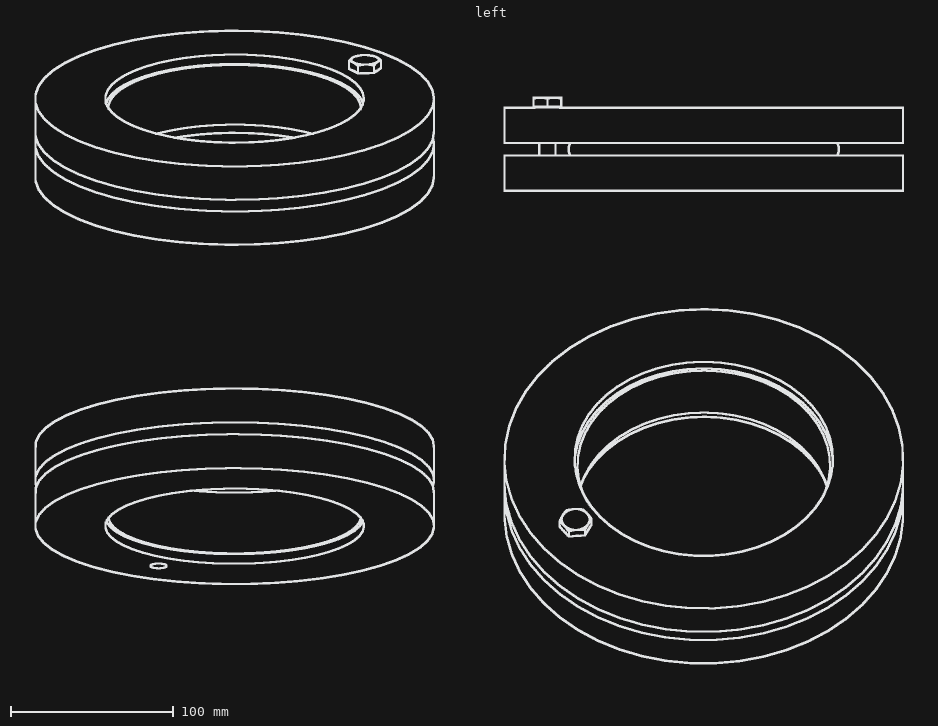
import cadquery as cq
import math

FLANGE_DIAMETER = 245.0
FLANGE_BORE = 158.8
FLANGE_THICKNESS = 21.8
FLANGE_GAP = 7.5
UPPER_FLANGE_BASE = FLANGE_THICKNESS + FLANGE_GAP
STACK_HEIGHT = UPPER_FLANGE_BASE + FLANGE_THICKNESS

RING_BORE = 155.0
RING_CREST_DIAMETER = 166.0
RING_EDGE_DROP = 1.0
RING_RECESS = 6.1

BOLT_OFFSET = 96.0
SHANK_DIAMETER = 10.0
HEAD_ACROSS_FLATS = 17.2
HEAD_TOTAL_HEIGHT = 6.1
WASHER_FACE_DIAMETER = 15.5
WASHER_FACE_HEIGHT = 0.5
HEXAGON_HEIGHT = HEAD_TOTAL_HEIGHT - WASHER_FACE_HEIGHT
HEAD_CHAMFER_ANGLE = 30.0


def make_flange(base_height):
    """Flat ring with a bore and a hole that fits the bolt shank."""
    return (
        cq.Workplane("XY", origin=(0, 0, base_height))
        .circle(FLANGE_DIAMETER / 2)
        .circle(FLANGE_BORE / 2)
        .extrude(FLANGE_THICKNESS)
        .cut(make_shank())
    )


def make_seal_ring():
    """Sleeve inside both bores, with a rounded collar filling the gap."""
    inner = RING_BORE / 2
    outer = FLANGE_BORE / 2
    crest = RING_CREST_DIAMETER / 2
    collar_edge = crest - RING_EDGE_DROP
    bottom = RING_RECESS
    top = STACK_HEIGHT - RING_RECESS
    return (
        cq.Workplane("XZ")
        .moveTo(inner, bottom)
        .lineTo(outer, bottom)
        .lineTo(outer, FLANGE_THICKNESS)
        .lineTo(collar_edge, FLANGE_THICKNESS)
        .threePointArc((crest, STACK_HEIGHT / 2), (collar_edge, UPPER_FLANGE_BASE))
        .lineTo(outer, UPPER_FLANGE_BASE)
        .lineTo(outer, top)
        .lineTo(inner, top)
        .close()
        .revolve(360, (0, 0, 0), (0, 1, 0))
    )


def make_shank():
    """Bolt shank through the full flange stack."""
    return (
        cq.Workplane("XY")
        .center(0, BOLT_OFFSET)
        .circle(SHANK_DIAMETER / 2)
        .extrude(STACK_HEIGHT)
    )


def make_bolt():
    """Hexagon bolt with a cone-chamfered head on a thin round washer face."""
    across_corners = HEAD_ACROSS_FLATS / math.cos(math.radians(30))
    top_radius = HEAD_ACROSS_FLATS / 2
    slope = math.tan(math.radians(HEAD_CHAMFER_ANGLE))
    base_radius = top_radius + HEXAGON_HEIGHT / slope
    hexagon_base = STACK_HEIGHT + WASHER_FACE_HEIGHT
    washer_face = (
        cq.Workplane("XY", origin=(0, BOLT_OFFSET, STACK_HEIGHT))
        .circle(WASHER_FACE_DIAMETER / 2)
        .extrude(WASHER_FACE_HEIGHT)
    )
    hexagon = (
        cq.Workplane("XY", origin=(0, BOLT_OFFSET, hexagon_base))
        .polygon(6, across_corners)
        .extrude(HEXAGON_HEIGHT)
    )
    chamfer_cone = cq.Workplane(
        cq.Solid.makeCone(
            base_radius, top_radius, HEXAGON_HEIGHT, cq.Vector(0, BOLT_OFFSET, hexagon_base)
        )
    )
    return make_shank().union(washer_face).union(hexagon.intersect(chamfer_cone))


flanges = [make_flange(base_height) for base_height in (0, UPPER_FLANGE_BASE)]
seal_ring = make_seal_ring()
bolt = make_bolt()

result = cq.Compound.makeCompound(
    [*[flange.val() for flange in flanges], seal_ring.val(), *bolt.vals()]
)